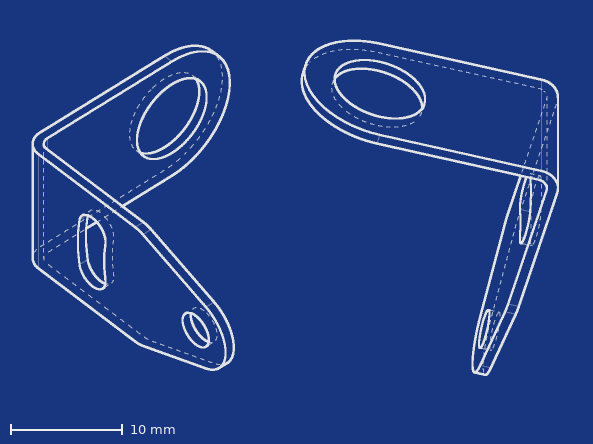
import cadquery as cq
import math

thickness = 1.0
width = 14.0
bend_inner_radius = 1.0
bend_outer_radius = bend_inner_radius + thickness

round_leg_length = 24.0
round_end_radius = width / 2
large_hole_y = round_leg_length - round_end_radius
large_hole_diameter = 8.4

tapered_leg_length = 27.0
tip_radius = 4.0
pivot_x = tapered_leg_length - tip_radius
pivot_hole_diameter = 3.5
taper_angle = math.radians(20)
shoulder_radius = 3.0

slot_path_radius = 14.0
slot_width = 3.5
slot_half_angle = math.radians(10)


def bent_strip():
    """Full-width L-shaped strip with a rounded bend."""
    strip = (
        cq.Workplane("XY")
        .polyline([
            (0, 0),
            (tapered_leg_length, 0),
            (tapered_leg_length, thickness),
            (thickness, thickness),
            (thickness, round_leg_length),
            (0, round_leg_length),
        ])
        .close()
        .extrude(width / 2, both=True)
    )
    outer_corner = cq.selectors.NearestToPointSelector((0, 0, 0))
    inner_corner = cq.selectors.NearestToPointSelector((thickness, thickness, 0))
    strip = strip.edges("|Z").edges(outer_corner).fillet(bend_outer_radius)
    return strip.edges("|Z").edges(inner_corner).fillet(bend_inner_radius)


def tapered_leg_outline():
    """Region in the XZ plane that bounds the tapered leg, extruded along the round leg."""
    half_width = width / 2
    tangent_x = pivot_x + tip_radius * math.sin(taper_angle)
    tangent_z = tip_radius * math.cos(taper_angle)
    shoulder_x = tangent_x - (half_width - tangent_z) / math.tan(taper_angle)
    outline = (
        cq.Workplane("XZ")
        .moveTo(0, half_width)
        .lineTo(shoulder_x, half_width)
        .lineTo(tangent_x, tangent_z)
        .threePointArc((tapered_leg_length, 0), (tangent_x, -tangent_z))
        .lineTo(shoulder_x, -half_width)
        .lineTo(0, -half_width)
        .close()
        .extrude(-round_leg_length)
    )
    shoulders = cq.selectors.BoxSelector(
        (shoulder_x - thickness, 0, -width),
        (shoulder_x + thickness, round_leg_length, width),
    )
    return outline.edges("|Y").edges(shoulders).fillet(shoulder_radius)


def round_leg_outline():
    """Region in the YZ plane that bounds the round leg, extruded along the tapered leg."""
    half_width = width / 2
    return (
        cq.Workplane("YZ")
        .moveTo(0, half_width)
        .lineTo(large_hole_y, half_width)
        .threePointArc((round_leg_length, 0), (large_hole_y, -half_width))
        .lineTo(0, -half_width)
        .close()
        .extrude(tapered_leg_length)
    )


def large_hole():
    return (
        cq.Workplane("YZ")
        .center(large_hole_y, 0)
        .circle(large_hole_diameter / 2)
        .extrude(thickness)
    )


def pivot_hole():
    return (
        cq.Workplane("XZ")
        .center(pivot_x, 0)
        .circle(pivot_hole_diameter / 2)
        .extrude(-thickness)
    )


def slot_point(radius, angle):
    """Point on the bend side of the pivot, at a radius and an angle above the X axis."""
    return (pivot_x - radius * math.cos(angle), radius * math.sin(angle))


def curved_slot():
    """Arc-shaped slot with round ends."""
    end_radius = slot_width / 2
    far_radius = slot_path_radius + end_radius
    near_radius = slot_path_radius - end_radius
    center_x, center_z = slot_point(slot_path_radius, slot_half_angle)
    end_tip_x = center_x + end_radius * math.sin(slot_half_angle)
    end_tip_z = center_z + end_radius * math.cos(slot_half_angle)
    return (
        cq.Workplane("XZ")
        .moveTo(*slot_point(far_radius, -slot_half_angle))
        .threePointArc(slot_point(far_radius, 0), slot_point(far_radius, slot_half_angle))
        .threePointArc((end_tip_x, end_tip_z), slot_point(near_radius, slot_half_angle))
        .threePointArc(slot_point(near_radius, 0), slot_point(near_radius, -slot_half_angle))
        .threePointArc((end_tip_x, -end_tip_z), slot_point(far_radius, -slot_half_angle))
        .close()
        .extrude(-thickness)
    )


result = (
    bent_strip()
    .intersect(tapered_leg_outline())
    .intersect(round_leg_outline())
    .cut(large_hole())
    .cut(pivot_hole())
    .cut(curved_slot())
)